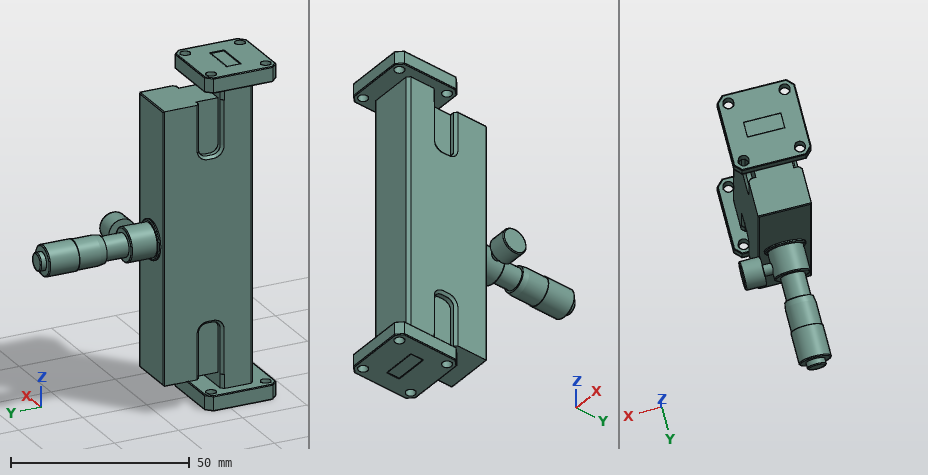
import cadquery as cq

overall_length = 101.6
edge_break = 0.3

flange_side = 22.4
flange_thickness = 4.7
flange_corner = 1.9
flange_edge_break = 0.25
flange_hole_diameter = 3.0
flange_hole_pitch_x = 16.3
flange_hole_pitch_y = 17.1
window_width = 10.8
window_height = 4.4
window_depth = 0.3

body_width = 15.4
guide_height = 10.2
guide_corner = 0.9
housing_length = 83.7
housing_back = 23.2

slot_width = 6.8
slot_corner_radius = 2.5
slot_chamfer = 0.8
slot_depth = 2.2
slot_end_z = 25.5
slot_center_y = guide_height / 2 + slot_width / 2
slot_overrun = 2.0

collar_radius, collar_end = 6.0, 23.9
sleeve_radius, sleeve_end = 5.2, 31.9
spindle_radius, taper_start = 3.6, 39.0
taper_radius, taper_end = 4.2, 40.9
thimble_radius, thimble_end = 4.5, 47.8
grip_radius, grip_end = 4.7, 57.2
cap_radius = 2.7
micrometer_end = 59.0

lock_y = 28.4
lock_stem_radius = 1.6
lock_knob_radius = 4.2
lock_knob_start = 7.7
lock_knob_end = 13.7


def make_flange():
    """Top flange, with its outer face at half the overall length."""
    base_z = overall_length / 2 - flange_thickness
    plate = (
        cq.Workplane("XY", origin=(0, 0, base_z))
        .rect(flange_side, flange_side)
        .extrude(flange_thickness)
        .edges("|Z").chamfer(flange_corner)
        .faces("<Z or >Z").chamfer(flange_edge_break)
    )
    holes = (
        cq.Workplane("XY", origin=(0, 0, base_z))
        .rect(flange_hole_pitch_x, flange_hole_pitch_y, forConstruction=True)
        .vertices()
        .circle(flange_hole_diameter / 2)
        .extrude(flange_thickness)
    )
    window = (
        cq.Workplane("XY", origin=(0, 0, overall_length / 2 - window_depth))
        .rect(window_width, window_height)
        .extrude(window_depth)
    )
    return plate.cut(holes).cut(window)


def slot_prism(margin, depth, taper=0.0):
    """Slot at the top of the -X face, with rounded corners, grown outwards by margin."""
    near_y = slot_center_y - slot_width / 2 - margin
    far_y = slot_center_y + slot_width / 2 + margin
    end_z = slot_end_z - margin
    open_z = housing_length / 2 + slot_overrun
    radius = slot_corner_radius + margin
    return (
        cq.Workplane("YZ", origin=(-body_width / 2, 0, 0))
        .moveTo(near_y, open_z)
        .lineTo(near_y, end_z + radius)
        .radiusArc((near_y + radius, end_z), -radius)
        .lineTo(far_y - radius, end_z)
        .radiusArc((far_y, end_z + radius), -radius)
        .lineTo(far_y, open_z)
        .close()
        .extrude(depth, taper=taper)
    )


def make_slot():
    """Slot with a 45 degree chamfer around its mouth."""
    recess = slot_prism(0, slot_depth)
    mouth = slot_prism(slot_chamfer, slot_chamfer, taper=45)
    return recess.union(mouth)


def make_body():
    """Waveguide bar joined to the housing, with a slot at each end of both sides."""
    guide = (
        cq.Workplane("XY")
        .box(body_width, guide_height, overall_length - 2 * flange_thickness)
        .edges("|Z").chamfer(guide_corner)
    )
    housing = (
        cq.Workplane("XY")
        .box(body_width, housing_back, housing_length, centered=(True, False, True))
        .faces(">Y").chamfer(edge_break)
    )
    body = guide.union(housing)
    left_slot = make_slot()
    for slot in (left_slot, left_slot.mirror("YZ")):
        body = body.cut(slot).cut(slot.mirror("XY"))
    return body


def make_micrometer():
    """Turned profile revolved about the Y axis."""
    return (
        cq.Workplane("XY")
        .moveTo(0, housing_back - edge_break)
        .lineTo(collar_radius, housing_back - edge_break)
        .lineTo(collar_radius, collar_end - edge_break)
        .lineTo(collar_radius - edge_break, collar_end)
        .lineTo(sleeve_radius, collar_end)
        .lineTo(sleeve_radius, sleeve_end - edge_break)
        .lineTo(sleeve_radius - edge_break, sleeve_end)
        .lineTo(spindle_radius, sleeve_end)
        .lineTo(spindle_radius, taper_start)
        .lineTo(taper_radius, taper_start)
        .lineTo(thimble_radius, taper_end)
        .lineTo(thimble_radius, thimble_end)
        .lineTo(grip_radius, thimble_end)
        .lineTo(grip_radius, grip_end - edge_break)
        .lineTo(grip_radius - edge_break, grip_end)
        .lineTo(cap_radius, grip_end)
        .lineTo(cap_radius, micrometer_end - edge_break)
        .lineTo(cap_radius - edge_break, micrometer_end)
        .lineTo(0, micrometer_end)
        .close()
        .revolve(360, (0, 0, 0), (0, 1, 0))
    )


def make_lock_screw():
    """Stem and knob along +X, starting on the micrometer axis."""
    stem = cq.Workplane("YZ", origin=(0, lock_y, 0)).circle(lock_stem_radius).extrude(lock_knob_start)
    knob = (
        cq.Workplane("YZ", origin=(lock_knob_start, lock_y, 0))
        .circle(lock_knob_radius)
        .extrude(lock_knob_end - lock_knob_start)
        .faces(">X").chamfer(edge_break)
    )
    return stem.union(knob)


top_flange = make_flange()
result = (
    make_body()
    .union(top_flange)
    .union(top_flange.mirror("XY"))
    .union(make_micrometer())
    .union(make_lock_screw())
)